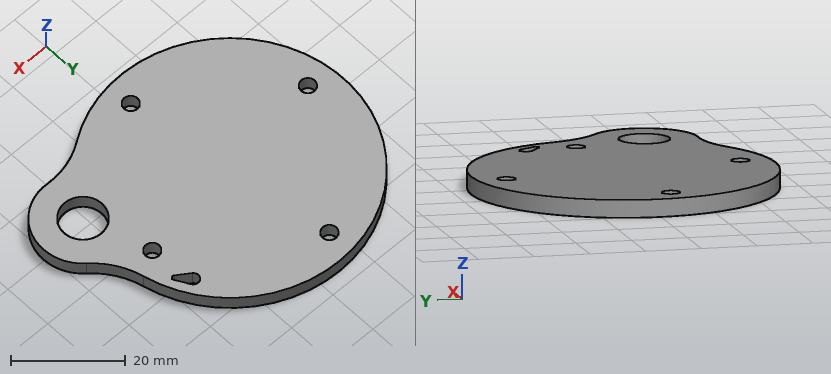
import cadquery as cq
import math

thickness = 3.2
disc_radius = 27.25
lug_radius = 9.5
lug_x = 62.5 - disc_radius - lug_radius
lug_y = -10.1
lug_hole_diameter = 9.0
blend_radius = 16.0

screw_hole_diameter = 3.2
screw_circle_radius = 21.9
screw_count = 4
first_screw_angle = 8.1

window_big_center = (20.7, 12.3)
window_big_radius = 1.2
window_small_center = (22.85, 9.95)
window_small_radius = 0.5


def polar(center, radius, angle):
    """Point at a distance and angle (radians) from a center."""
    return (center[0] + radius * math.cos(angle), center[1] + radius * math.sin(angle))


def make_plate():
    """Disc with a round lug, joined by tangent concave arcs on both sides."""
    disc_center = (0, 0)
    lug_center = (lug_x, lug_y)
    lug_distance = math.hypot(lug_x, lug_y)
    lug_angle = math.atan2(lug_y, lug_x)

    disc_side = disc_radius + blend_radius
    lug_side = lug_radius + blend_radius
    spread = math.acos(
        (disc_side**2 + lug_distance**2 - lug_side**2) / (2 * disc_side * lug_distance)
    )

    def blend_points(side):
        """Disc tangent point, arc middle and lug tangent point; side is +1 or -1."""
        disc_angle = lug_angle + side * spread
        center = polar(disc_center, disc_side, disc_angle)
        to_lug = math.atan2(lug_y - center[1], lug_x - center[0])
        to_middle = math.atan2(lug_y / 2 - center[1], lug_x / 2 - center[0])
        return (
            polar(disc_center, disc_radius, disc_angle),
            polar(center, blend_radius, to_middle),
            polar(center, blend_radius, to_lug),
        )

    upper_disc, upper_middle, upper_lug = blend_points(1)
    lower_disc, lower_middle, lower_lug = blend_points(-1)
    return (
        cq.Workplane("XY")
        .moveTo(*upper_disc)
        .threePointArc(polar(disc_center, -disc_radius, lug_angle), lower_disc)
        .threePointArc(lower_middle, lower_lug)
        .threePointArc(polar(lug_center, lug_radius, lug_angle), upper_lug)
        .threePointArc(upper_middle, upper_disc)
        .close()
        .extrude(thickness)
    )


def make_round_holes():
    """Cutters for the screw holes and the large lug hole."""
    screws = (
        cq.Workplane("XY")
        .polarArray(screw_circle_radius, first_screw_angle, 360, screw_count)
        .circle(screw_hole_diameter / 2)
        .extrude(thickness)
    )
    lug_hole = (
        cq.Workplane("XY").center(lug_x, lug_y).circle(lug_hole_diameter / 2).extrude(thickness)
    )
    return screws.add(lug_hole).combine()


def make_window():
    """Cutter for the teardrop window."""
    run = window_small_center[0] - window_big_center[0]
    rise = window_small_center[1] - window_big_center[1]
    axis = math.atan2(rise, run)
    tangent = math.acos((window_big_radius - window_small_radius) / math.hypot(run, rise))
    return (
        cq.Workplane("XY")
        .moveTo(*polar(window_big_center, window_big_radius, axis + tangent))
        .threePointArc(
            polar(window_big_center, -window_big_radius, axis),
            polar(window_big_center, window_big_radius, axis - tangent),
        )
        .lineTo(*polar(window_small_center, window_small_radius, axis - tangent))
        .threePointArc(
            polar(window_small_center, window_small_radius, axis),
            polar(window_small_center, window_small_radius, axis + tangent),
        )
        .close()
        .extrude(thickness)
    )


result = make_plate().cut(make_round_holes()).cut(make_window())